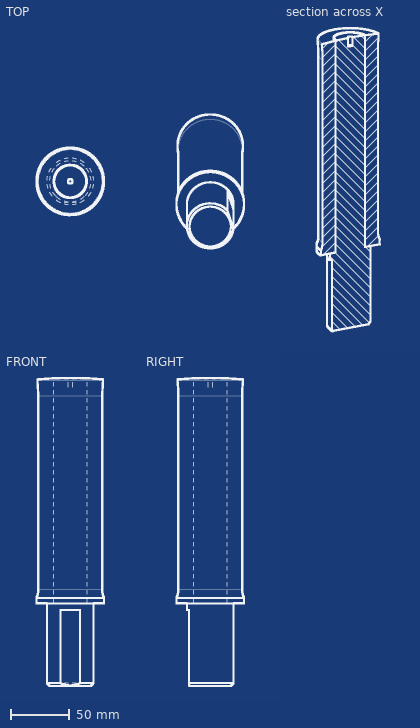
import cadquery as cq
import math

total_height = 264.0
dome_drop = 1.3

flange_radius = 58.0 / 2
grip_radius = 55.0 / 2
rim_radius = 56.5 / 2
flange_bottom = 70.8
flange_top = 75.5
flare_top = 82.5
collar_bottom = 248.5
rim_fillet = 1.0

shank_radius = 40.0 / 2
journal_radius = 28.5 / 2
end_chamfer = 2.5
journal_chamfer = 0.5
center_hole_diameter = 4.0
center_hole_depth = 8.0

flat_distance = 18.2
flat_top = 65.0

dome_radius = (rim_radius**2 + dome_drop**2) / (2 * dome_drop)

flare_height = flare_top - flange_top
flare_width = flange_radius - grip_radius
flare_radius = (flare_height**2 + flare_width**2) / (2 * flare_width)
flare_half_angle = math.asin(flare_height / flare_radius) / 2
flare_middle = (
    grip_radius + flare_radius * (1 - math.cos(flare_half_angle)),
    flare_top - flare_radius * math.sin(flare_half_angle),
)


def dome_point(radius):
    """Profile point on the spherical top at a distance from the axis."""
    drop = dome_radius - math.sqrt(dome_radius**2 - radius**2)
    return (radius, total_height - drop)


def revolve_about_z(profile):
    return profile.close().revolve(360, (0, 0, 0), (0, 1, 0))


def make_sleeve():
    """Flared grip with a domed end, bored through for the spindle journal."""
    profile = (
        cq.Workplane("XZ")
        .moveTo(journal_radius, flange_bottom)
        .lineTo(flange_radius, flange_bottom)
        .lineTo(flange_radius, flange_top)
        .threePointArc(flare_middle, (grip_radius, flare_top))
        .lineTo(grip_radius, collar_bottom)
        .lineTo(*dome_point(rim_radius))
        .threePointArc(dome_point((rim_radius + journal_radius) / 2), dome_point(journal_radius))
    )
    sleeve = revolve_about_z(profile)
    rim_edge = sleeve.faces("%CONE").edges("%CIRCLE").edges(">Z")
    return rim_edge.fillet(rim_fillet)


def make_spindle():
    """Shank with a shouldered journal that reaches the domed end of the grip."""
    edge_radius = journal_radius - journal_chamfer
    journal_top = dome_point(journal_radius)[1]
    profile = (
        cq.Workplane("XZ")
        .lineTo(shank_radius - end_chamfer, 0)
        .lineTo(shank_radius, end_chamfer)
        .lineTo(shank_radius, flange_bottom)
        .lineTo(journal_radius, flange_bottom)
        .lineTo(journal_radius, journal_top - journal_chamfer)
        .lineTo(*dome_point(edge_radius))
        .threePointArc(dome_point(edge_radius / 2), dome_point(0))
    )
    return revolve_about_z(profile)


def cut_wrench_flat(spindle):
    flat_depth = shank_radius - flat_distance
    cutter = cq.Workplane("XY").box(
        2 * shank_radius, flat_depth, flat_top, centered=(True, False, False)
    )
    return spindle.cut(cutter.translate((0, -shank_radius, 0)))


def cut_center_hole(spindle):
    cutter = (
        cq.Workplane("XY", origin=(0, 0, total_height))
        .circle(center_hole_diameter / 2)
        .extrude(-center_hole_depth)
    )
    return spindle.cut(cutter)


sleeve = make_sleeve()
spindle = cut_center_hole(cut_wrench_flat(make_spindle()))

result = cq.Compound.makeCompound([sleeve.val(), spindle.val()])